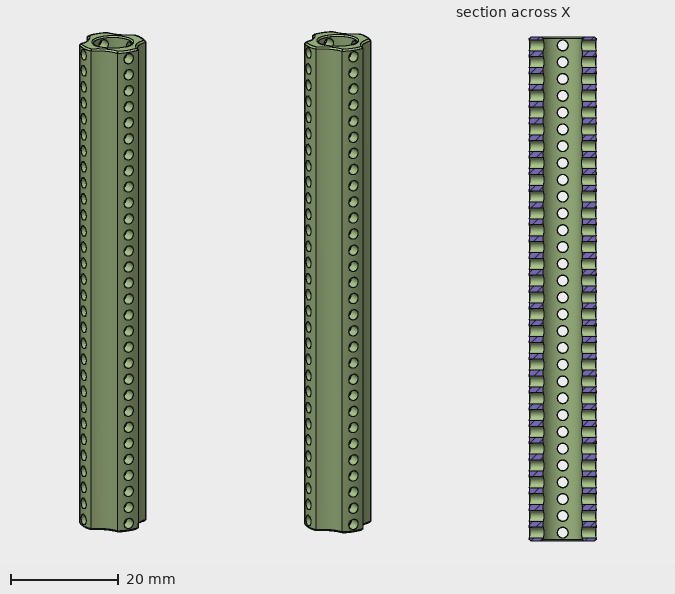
import cadquery as cq
import math

length = 93.75
outer_diameter = 12.5
bore_diameter = 7.2

lobe_width = 4.4
flute_floor_diameter = 9.9

end_chamfer = 0.33
bore_chamfer = 0.3

hole_diameter = 2.0
holes_per_row = 30
hole_pitch = length / holes_per_row

outer_radius = outer_diameter / 2
lobe_half_width = lobe_width / 2
lobe_edge = math.sqrt(outer_radius**2 - lobe_half_width**2)
flute_floor = flute_floor_diameter / 2


def polar_point(radius, angle):
    """Point in the cross section at a radius and angle about the tube axis."""
    return (radius * math.cos(angle), radius * math.sin(angle))


def lobed_outline():
    """Closed outline of alternating lobe crowns and flutes."""
    lobe_half_angle = math.atan2(lobe_half_width, lobe_edge)
    outline = cq.Workplane("XY").moveTo(*polar_point(outer_radius, -lobe_half_angle))
    for quarter in range(4):
        lobe_angle = quarter * math.pi / 2
        flute_angle = lobe_angle + math.pi / 4
        next_lobe_angle = lobe_angle + math.pi / 2
        outline = outline.threePointArc(
            polar_point(outer_radius, lobe_angle),
            polar_point(outer_radius, lobe_angle + lobe_half_angle),
        )
        outline = outline.threePointArc(
            polar_point(flute_floor, flute_angle),
            polar_point(outer_radius, next_lobe_angle - lobe_half_angle),
        )
    return outline.close()


def hole_row(plane):
    """Cutting pins for a row of holes spaced evenly along Z and crossing the tube."""
    first_hole = hole_pitch / 2
    centers = [(0, first_hole + index * hole_pitch) for index in range(holes_per_row)]
    return (
        cq.Workplane(plane)
        .pushPoints(centers)
        .circle(hole_diameter / 2)
        .extrude(outer_diameter, both=True)
    )


tube = lobed_outline().extrude(length)
tube = tube.faces("<Z or >Z").chamfer(end_chamfer)

tube = tube.faces(">Z").workplane(origin=(0, 0, 0)).hole(bore_diameter)
tube = tube.edges(cq.selectors.RadiusNthSelector(0)).chamfer(bore_chamfer)

for row_plane in ("XZ", "YZ"):
    tube = tube.cut(hole_row(row_plane))

result = tube